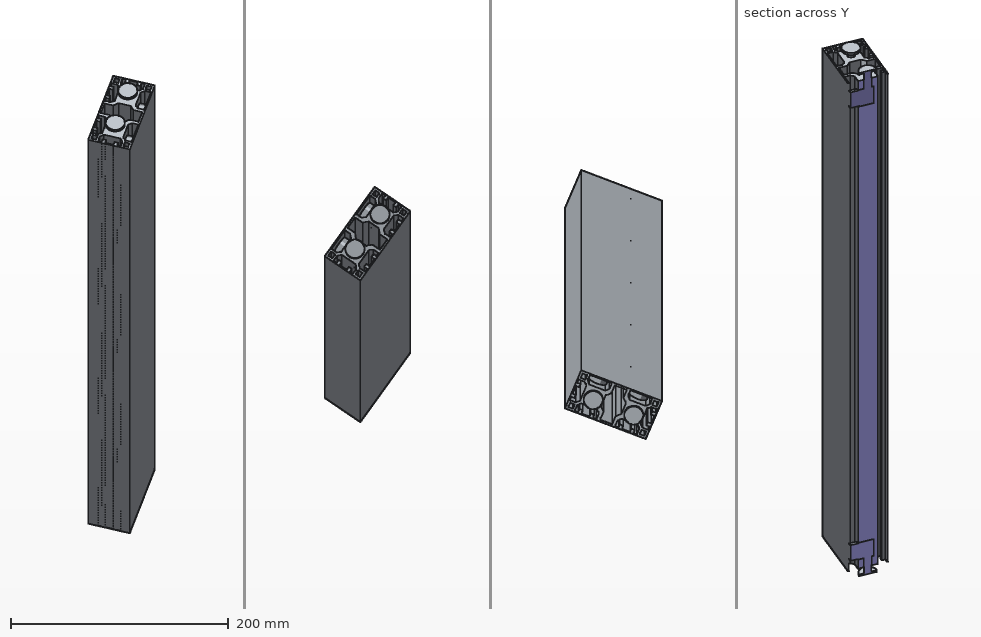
import cadquery as cq

total_length = 567.5
profile_length = 550.0
profile_depth = 80.0
cell = profile_depth / 2
half_cell = cell / 2
cell_centres = [-half_cell, half_cell]

skin = 1.0
core_width = 20.0
core_half = core_width / 2
groove_half = 11.0
groove_shoulder = 13.0
groove_floor_half = 8.0
slot_half = 4.0
lip_width = 3.5
lip_depth = 3.5
corner_offset = 15.5
corner_size = 4.5
cavity_wall = 2.0
cavity_height = 12.0
cavity_half = cavity_height / 2
cavity_shoulder = 9.5
cavity_crown = 5.5

head_diameter = 17.5
head_thickness = 2.5
shank_diameter = 7.5
pin_diameter = 18.0
pin_inner_x = -5.5
pin_outer_x = 17.5
pin_end_distance = 20.0

half_length = profile_length / 2
pin_z = half_length - pin_end_distance


def prism(outline):
    """Extrude a closed XY outline over the whole profile length."""
    return cq.Workplane("XY").workplane(offset=-half_length).polyline(outline).close().extrude(profile_length)


def bar(x_min, x_max, y_min, y_max):
    """Rectangular bar over the whole profile length."""
    return prism([(x_min, y_min), (x_max, y_min), (x_max, y_max), (x_min, y_max)])


def groove(with_lips):
    """Void of one groove on the +X side of a cell centred on the origin."""
    skin_x = half_cell - skin
    void = prism([
        (core_half, -groove_floor_half),
        (groove_shoulder, -groove_half),
        (skin_x, -groove_half),
        (skin_x, groove_half),
        (groove_shoulder, groove_half),
        (core_half, groove_floor_half),
    ])
    if with_lips:
        lip = bar(skin_x - lip_depth, skin_x, slot_half, slot_half + lip_width)
        void = void.cut(lip).cut(lip.mirror("XZ"))
    return void


def centre_cavity():
    """Void between the two cores."""
    wall_x = half_cell - cavity_wall
    crown_y = half_cell - core_half
    upper = [
        (wall_x, cavity_half),
        (cavity_shoulder, cavity_half),
        (cavity_crown, crown_y),
        (-cavity_crown, crown_y),
        (-cavity_shoulder, cavity_half),
        (-wall_x, cavity_half),
    ]
    lower = [(-x, -y) for x, y in upper]
    return prism(upper + lower)


def corner_hollow(x, y):
    """Small square void in a corner of the profile."""
    half_size = corner_size / 2
    return bar(x - half_size, x + half_size, y - half_size, y + half_size)


def make_connector(y, end):
    """Headed shank along Z and its cross pin along X, at one end (+1 top, -1 bottom) of one core."""
    shank_length = total_length / 2 - head_thickness - pin_z
    shank = cq.Workplane("XY").workplane(offset=pin_z).circle(shank_diameter / 2).extrude(shank_length)
    head = shank.faces(">Z").workplane().circle(head_diameter / 2).extrude(head_thickness, combine=False)
    pin = (
        cq.Workplane("YZ", origin=(pin_inner_x, 0, pin_z))
        .circle(pin_diameter / 2)
        .extrude(pin_outer_x - pin_inner_x)
    )
    connector = shank.union(head).union(pin)
    if end < 0:
        connector = connector.mirror("XY")
    return connector.translate((0, y, 0))


def make_profile(connectors):
    """Extruded profile with grooves, hollows and the seats of the connectors."""
    profile = cq.Workplane("XY").box(cell, profile_depth, profile_length)
    profile = profile.cut(centre_cavity())

    for y in cell_centres:
        outward = 90 if y > 0 else -90
        profile = profile.cut(groove(True).rotate((0, 0, 0), (0, 0, 1), outward).translate((0, y, 0)))
        profile = profile.cut(groove(True).mirror("YZ").translate((0, y, 0)))
        profile = profile.cut(groove(False).translate((0, y, 0)))
        hollow_y = y + corner_offset if y > 0 else y - corner_offset
        for x in (-corner_offset, corner_offset):
            profile = profile.cut(corner_hollow(x, hollow_y))

    for connector in connectors:
        profile = profile.cut(connector)
    return profile


connectors = [make_connector(y, end) for y in cell_centres for end in (-1, 1)]
profile = make_profile(connectors)

connector_solids = [connector.solids().val() for connector in connectors]
result = cq.Compound.makeCompound([profile.solids().val(), *connector_solids])